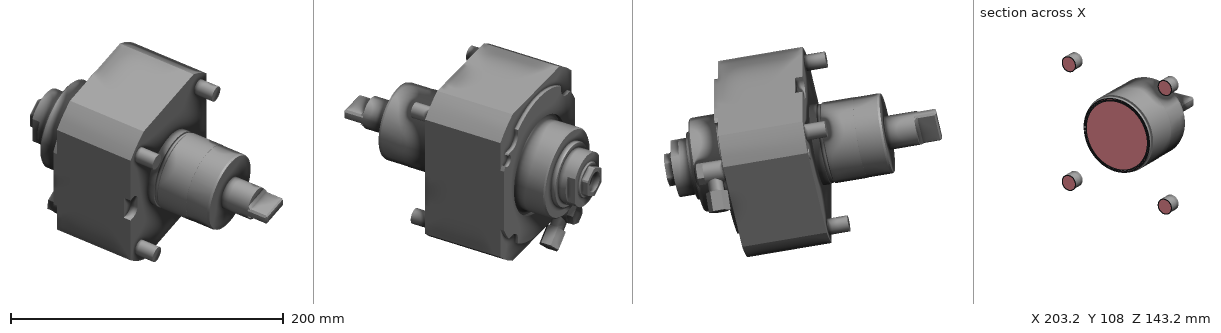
import cadquery as cq
import math


overall_length = 203.23

housing_length = 63.1
housing_width = 108.0
housing_height = 130.0
housing_corner_radius = 74.0

cover_thickness = 3.1
cover_radius = 60.0
cover_bore_radius = 39.0
housing_front_x = -housing_length
cover_front_x = housing_front_x - cover_thickness

bolt_y = 42.0
bolt_z = 47.0
bolt_radius = 6.0
bolt_projection = 15.3
bolt_relief_radius = 9.4

notch_y = 48.1
notch_z = 32.0
notch_radius = 4.6

key_depth_x = 5.8
key_width = 20.3
key_depth_y = 10.0
key_corner_radius = 6.5

nose_radius = 34.9
nose_front_x = -89.4
nose_chamfer = 1.0
nose_fillet_radius = 2.7
step_radius = 25.3
step_front_x = -93.1
step_chamfer_length = 1.0
step_chamfer_height = 0.4
clamp_radius = 21.1
clamp_front_x = -105.9
clamp_flat_offset = 18.0
clamp_flat_end_x = -99.6
collar_radius = 14.0
collar_chamfer = 0.7
nut_back_x = -107.2
nut_front_x = -112.2
nut_across_flats = 21.5
nut_corner_radius = 12.0
nut_bore_mouth_radius = 7.9
nut_bore_floor_radius = 6.9
nut_bore_depth = 5.5

shank_radius = 30.0
shank_end_radius = 29.8
shank_step_x = 32.9
shank_end_x = 52.5
shank_chamfer_length = 1.6
shank_chamfer_height = 0.5
groove_start_x = 5.5
groove_end_x = 8.9
groove_floor_radius = 27.0
ring_section_radius = 1.35
ring_outer_radius = 29.4

drive_radius = 12.5
tang_start_x = 75.0
drive_end_x = nut_front_x + overall_length
tang_thickness = 8.0
tang_chamfer = 1.1
tang_root_chamfer = 2.2

elbow_y = -25.8
elbow_z = -54.0
elbow_radius = 8.0
elbow_front_x = -83.9
elbow_hex_length = 5.0
elbow_foot_radius = 7.5
elbow_foot_x = -64.8
tail_x = -72.1
tail_angle = 40.0
tail_neck_radius = 5.6
tail_hex_start = 14.8
tail_hex_end = 29.36
tail_hex_across_corners = 16.2

pin_y = -29.5
pin_z = -57.5
pin_radius = 4.0
pin_projection = 0.6


def rod(radius, start_x, end_x, y=0.0, z=0.0):
    """Cylinder parallel to X."""
    return cq.Workplane("YZ", origin=(start_x, y, z)).circle(radius).extrude(end_x - start_x)


def hex_rod(across_corners, start_x, end_x, first_corner_angle):
    """Hexagonal bar on the X axis; the corner angle is measured from +Y towards +Z."""
    hexagon = cq.Workplane("YZ", origin=(start_x, 0, 0)).polygon(6, across_corners)
    bar = hexagon.extrude(end_x - start_x)
    return bar.rotate((0, 0, 0), (1, 0, 0), first_corner_angle)


def block(start, end):
    """Box between two opposite corners."""
    size = [end[i] - start[i] for i in range(3)]
    return cq.Workplane("XY", origin=start).box(*size, centered=False)


def make_housing():
    slab = block(
        (housing_front_x, -housing_width / 2, -housing_height / 2),
        (0, housing_width / 2, housing_height / 2),
    )
    housing = slab.intersect(rod(housing_corner_radius, housing_front_x, 0))
    return housing.cut(make_key_slot())


def make_key_slot():
    floor_y = key_depth_y - housing_width / 2
    slot = block(
        (-key_depth_x, -housing_width / 2, -key_width / 2),
        (0, floor_y, key_width / 2),
    )
    return slot.edges("|X and >Y").fillet(key_corner_radius)


def make_bolt_relief(side_y, side_z):
    """Round relief about a bolt, opened outwards through the edge of the cover."""
    y = side_y * bolt_y
    z = side_z * bolt_z
    relief = rod(bolt_relief_radius, cover_front_x, housing_front_x, y, z)
    span = 2 * bolt_relief_radius
    middle_x = (cover_front_x + housing_front_x) / 2
    for shift_y, shift_z in ((side_y, 0), (0, side_z)):
        centre = (middle_x, y + shift_y * bolt_relief_radius, z + shift_z * bolt_relief_radius)
        relief = relief.union(cq.Workplane("XY", origin=centre).box(cover_thickness, span, span))
    return relief


def make_arc_relief():
    """Band cut from the cover rim, running from a round end to the coolant elbow."""
    inner_radius = math.hypot(notch_y, notch_z) - notch_radius
    start_angle = math.atan2(-notch_z, -notch_y)
    end_angle = math.atan2(elbow_z, elbow_y)
    middle_angle = (start_angle + end_angle) / 2

    def point(radius, angle):
        return (radius * math.cos(angle), radius * math.sin(angle))

    band = (
        cq.Workplane("YZ", origin=(cover_front_x, 0, 0))
        .moveTo(*point(inner_radius, start_angle))
        .threePointArc(point(inner_radius, middle_angle), point(inner_radius, end_angle))
        .lineTo(*point(housing_corner_radius, end_angle))
        .threePointArc(
            point(housing_corner_radius, middle_angle),
            point(housing_corner_radius, start_angle),
        )
        .close()
        .extrude(cover_thickness)
    )
    round_end = rod(notch_radius, cover_front_x, housing_front_x, -notch_y, -notch_z)
    elbow_end = rod(elbow_radius, cover_front_x, housing_front_x, elbow_y, elbow_z)
    return band.union(round_end).union(elbow_end)


def make_cover():
    slab = block(
        (cover_front_x, -housing_width / 2, -housing_height / 2),
        (housing_front_x, housing_width / 2, housing_height / 2),
    )
    cover = slab.intersect(rod(cover_radius, cover_front_x, housing_front_x))
    cover = cover.cut(rod(cover_bore_radius, cover_front_x, housing_front_x))
    for side_y, side_z in ((1, 1), (-1, 1), (1, -1)):
        cover = cover.cut(make_bolt_relief(side_y, side_z))
    cover = cover.cut(rod(notch_radius, cover_front_x, housing_front_x, notch_y, notch_z))
    return cover.cut(make_arc_relief())


def make_front_spindle():
    fillet_mid = nose_fillet_radius * (1 - math.sqrt(0.5))
    turned = (
        cq.Workplane("XY")
        .moveTo(nut_back_x, 0)
        .lineTo(nut_back_x, collar_radius - collar_chamfer)
        .lineTo(nut_back_x + collar_chamfer, collar_radius)
        .lineTo(clamp_front_x, collar_radius)
        .lineTo(clamp_front_x, clamp_radius)
        .lineTo(step_front_x, clamp_radius)
        .lineTo(step_front_x, step_radius - step_chamfer_height)
        .lineTo(step_front_x + step_chamfer_length, step_radius)
        .lineTo(nose_front_x, step_radius)
        .lineTo(nose_front_x, nose_radius - nose_chamfer)
        .lineTo(nose_front_x + nose_chamfer, nose_radius)
        .lineTo(housing_front_x - nose_fillet_radius, nose_radius)
        .threePointArc(
            (housing_front_x - fillet_mid, nose_radius + fillet_mid),
            (housing_front_x, nose_radius + nose_fillet_radius),
        )
        .lineTo(housing_front_x, 0)
        .close()
        .revolve(360, (0, 0, 0), (1, 0, 0))
    )
    flat = block(
        (clamp_front_x, clamp_flat_offset, -clamp_radius),
        (clamp_flat_end_x, clamp_radius, clamp_radius),
    )
    turned = turned.cut(flat).cut(flat.mirror("XZ"))

    nut_across_corners = 2 * nut_across_flats / math.sqrt(3)
    nut = hex_rod(nut_across_corners, nut_front_x, nut_back_x, 90)
    nut = nut.intersect(rod(nut_corner_radius, nut_front_x, nut_back_x))
    bore = (
        cq.Workplane("YZ", origin=(nut_front_x, 0, 0))
        .circle(nut_bore_mouth_radius)
        .workplane(offset=nut_bore_depth)
        .circle(nut_bore_floor_radius)
        .loft()
    )
    return turned.union(nut).cut(bore)


def make_rear_shank():
    shank = (
        cq.Workplane("XY")
        .lineTo(0, shank_radius)
        .lineTo(groove_start_x, shank_radius)
        .lineTo(groove_start_x, groove_floor_radius)
        .lineTo(groove_end_x, groove_floor_radius)
        .lineTo(groove_end_x, shank_radius)
        .lineTo(shank_step_x, shank_radius)
        .lineTo(shank_step_x, shank_end_radius)
        .lineTo(shank_end_x - shank_chamfer_length, shank_end_radius)
        .lineTo(shank_end_x, shank_end_radius - shank_chamfer_height)
        .lineTo(shank_end_x, 0)
        .close()
        .revolve(360, (0, 0, 0), (1, 0, 0))
    )
    ring = cq.Solid.makeTorus(
        ring_outer_radius - ring_section_radius,
        ring_section_radius,
        cq.Vector(groove_start_x + ring_section_radius, 0, 0),
        cq.Vector(1, 0, 0),
    )
    return shank.union(ring)


def make_drive_shaft():
    shaft = rod(drive_radius, shank_end_x, drive_end_x).faces(">X").chamfer(tang_chamfer)
    half = tang_thickness / 2
    root_x = tang_start_x + tang_root_chamfer
    upper_cut = (
        cq.Workplane("XZ", origin=(0, drive_radius, 0))
        .moveTo(tang_start_x, drive_radius)
        .lineTo(tang_start_x, half + tang_root_chamfer)
        .lineTo(root_x, half)
        .lineTo(drive_end_x - tang_chamfer, half)
        .lineTo(drive_end_x, half - tang_chamfer)
        .lineTo(drive_end_x, drive_radius)
        .close()
        .extrude(2 * drive_radius)
    )
    edge_y = math.sqrt(drive_radius ** 2 - half ** 2) - tang_chamfer
    edge_cut = (
        cq.Workplane("YZ", origin=(tang_start_x, 0, 0))
        .moveTo(edge_y, half)
        .lineTo(edge_y + 2 * tang_chamfer, half - 2 * tang_chamfer)
        .lineTo(edge_y + 2 * tang_chamfer, half)
        .close()
        .extrude(drive_end_x - tang_start_x)
    )
    upper_cut = upper_cut.union(edge_cut).union(edge_cut.mirror("XZ"))
    return shaft.cut(upper_cut).cut(upper_cut.mirror("XY"))


def make_coolant_elbow():
    hex_end_x = elbow_front_x + elbow_hex_length
    head = hex_rod(2 * elbow_radius, elbow_front_x, hex_end_x, -tail_angle)
    body = head.union(rod(elbow_radius, hex_end_x, elbow_foot_x))
    body = body.union(rod(elbow_foot_radius, elbow_foot_x, housing_front_x))
    neck = cq.Workplane("XY").circle(tail_neck_radius).extrude(-tail_hex_start)
    tail_hex = (
        cq.Workplane("XY", origin=(0, 0, -tail_hex_start))
        .polygon(6, tail_hex_across_corners)
        .extrude(tail_hex_start - tail_hex_end)
    )
    tail = neck.union(tail_hex)
    tail = tail.rotate((0, 0, 0), (1, 0, 0), 90 - tail_angle).translate((tail_x, 0, 0))
    return body.union(tail).translate((0, elbow_y, elbow_z))


def make_bolts():
    centres = cq.Workplane("YZ").rect(2 * bolt_y, 2 * bolt_z, forConstruction=True).vertices()
    return centres.circle(bolt_radius).extrude(bolt_projection)


result = (
    make_housing()
    .union(make_cover())
    .union(make_front_spindle())
    .union(make_rear_shank())
    .union(make_drive_shaft())
    .union(make_bolts())
    .union(make_coolant_elbow())
    .union(rod(pin_radius, 0, pin_projection, pin_y, pin_z))
)